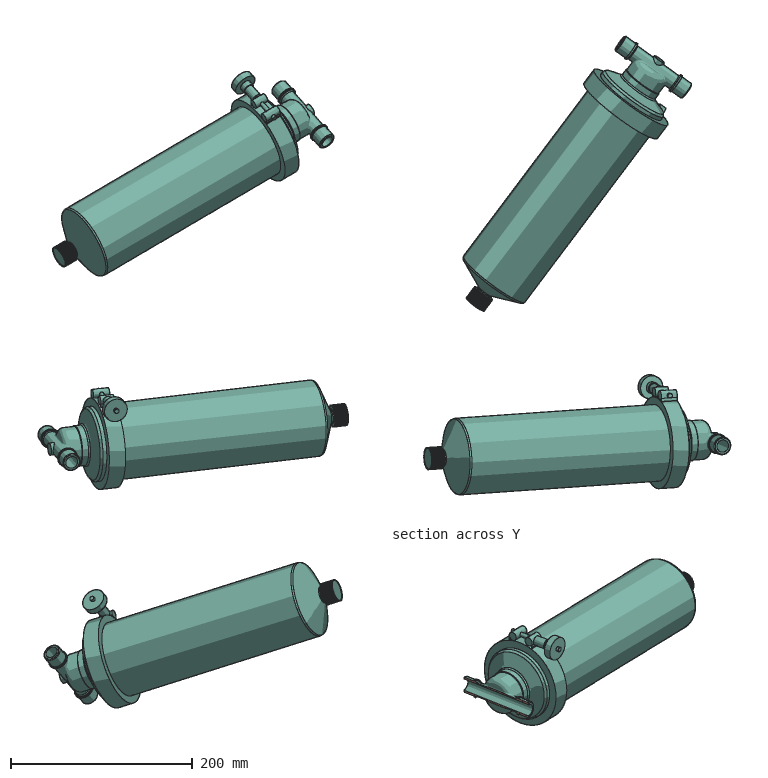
import cadquery as cq
import math


cap_radius = 12.3
cap_length = 15.5
knurl_depth = 0.7
knurl_teeth = 60

neck_radius = 8.2
neck_collar_radius = 9.2
neck_collar_y = 17.0
cone_start_y = 18.5
cone_end_y = 33.5
body_radius = 42.5
body_bevel_radius = 41.7
body_start_y = 35.5

ring_radius = 101.5 / 2
ring_width = 18.8
ring_center_y = 279.5

lid_radius = 41.7
lid_bevel_y = 293.3
lid_cone_radius = 39.5
lid_cone_y = 296.0
lid_flare_radius = 26.0
lid_flare_y = 301.2
collar_flare_radius = 24.0
collar_flare_y = 302.2
collar_radius = 22.5
collar_start_y = 304.0
collar_end_y = 310.8

head_radius = 22.0
head_start_y = 311.5
head_top_y = 330.5
head_round = 7.5

pipe_y = 331.0
pipe_radius = 9.0
pipe_half_length = 45.8
pipe_bore_radius = 7.0
pipe_joint_round = 1.7
sleeve_radius = 10.0
sleeve_chamfer = 1.0
flange_radius = 11.0
flange_width = 2.0
flange_inner_x = 29.5
flange_outer_x = flange_inner_x + flange_width
flange_taper = 1.5
boss_radius = 7.0
boss_top_y = 342

screw_z = 55.0
screw_radius = 2.55
screw_start_x = -48.2
screw_end_x = 18.5
knob_radius = 26.3 / 2
knob_start_x = -45.0
knob_end_x = -37.3
knob_collar_radius = 6.5
knob_collar_end_x = -30.8
spacer_radius = 5.5
trunnion_radius = 10.0 / 2
left_trunnion_x = -10.5
left_trunnion_width = 15.7
right_trunnion_x = -left_trunnion_x
right_trunnion_width = ring_width
strap_thickness = 1.0
strap_root_z = 45.8


def cylinder_x(radius, start_x, end_x, y, z):
    """Cylinder parallel to X."""
    return cq.Workplane("YZ", origin=(start_x, y, z)).circle(radius).extrude(end_x - start_x)


def cylinder_y(radius, start_y, end_y, x=0, z=0):
    """Cylinder parallel to Y."""
    return cq.Workplane("XZ", origin=(x, start_y, z)).circle(radius).extrude(start_y - end_y)


def make_cap():
    """Cap with triangular knurl teeth."""
    root_radius = cap_radius - knurl_depth
    points = []
    for i in range(2 * knurl_teeth):
        radius = cap_radius if i % 2 == 0 else root_radius
        angle = i * math.pi / knurl_teeth
        points.append((radius * math.cos(angle), radius * math.sin(angle)))
    return cq.Workplane("XZ").polyline(points).close().extrude(-cap_length)


def make_housing():
    """Neck, body, lid and head turned around Y."""
    arc_inset = head_round * (1 - math.sqrt(0.5))
    head_round_mid = (head_radius - arc_inset, head_top_y - arc_inset)
    profile = (
        cq.Workplane("XY")
        .moveTo(0, cap_length)
        .lineTo(neck_radius, cap_length)
        .lineTo(neck_collar_radius, neck_collar_y)
        .lineTo(neck_collar_radius, cone_start_y)
        .lineTo(body_bevel_radius, cone_end_y)
        .lineTo(body_radius, body_start_y)
        .lineTo(body_radius, ring_center_y)
        .lineTo(lid_radius, ring_center_y)
        .lineTo(lid_radius, lid_bevel_y)
        .lineTo(lid_cone_radius, lid_cone_y)
        .lineTo(lid_flare_radius, lid_flare_y)
        .lineTo(collar_flare_radius, collar_flare_y)
        .lineTo(collar_radius, collar_start_y)
        .lineTo(collar_radius, collar_end_y)
        .lineTo(head_radius, head_start_y)
        .lineTo(head_radius, head_top_y - head_round)
        .threePointArc(head_round_mid, (head_radius - head_round, head_top_y))
        .lineTo(0, head_top_y)
        .close()
    )
    return profile.revolve(360, (0, 0, 0), (0, 1, 0))


def make_pipe_end():
    """Sleeve and flange at the +X end of the cross pipe."""
    profile = (
        cq.Workplane("XY")
        .moveTo(flange_inner_x - flange_taper, pipe_y)
        .lineTo(flange_inner_x - flange_taper, pipe_y + pipe_radius)
        .lineTo(flange_inner_x, pipe_y + sleeve_radius)
        .lineTo(flange_inner_x, pipe_y + flange_radius)
        .lineTo(flange_outer_x, pipe_y + flange_radius)
        .lineTo(flange_outer_x, pipe_y + sleeve_radius)
        .lineTo(pipe_half_length - sleeve_chamfer, pipe_y + sleeve_radius)
        .lineTo(pipe_half_length, pipe_y + sleeve_radius - sleeve_chamfer)
        .lineTo(pipe_half_length, pipe_y)
        .close()
    )
    return profile.revolve(360, (0, pipe_y, 0), (1, pipe_y, 0))


def join_pipe(housing):
    """Cross pipe blended into the head, with both ends, the plug boss and the through bore."""
    pipe = cylinder_x(pipe_radius, -flange_inner_x, flange_inner_x, pipe_y, 0)
    joint_zone = cq.selectors.BoxSelector(
        (-head_radius, head_top_y - head_round - pipe_radius, -pipe_radius),
        (head_radius, head_top_y + pipe_radius, pipe_radius),
        boundingbox=False,
    )
    body = housing.union(pipe)
    body = body.edges(joint_zone).fillet(pipe_joint_round)
    end = make_pipe_end()
    body = body.union(end).union(end.mirror("YZ"))
    body = body.union(cylinder_y(boss_radius, pipe_y, boss_top_y))
    bore = cylinder_x(pipe_bore_radius, -pipe_half_length, pipe_half_length, pipe_y, 0)
    return body.cut(bore)


def make_trunnion(x, width, side):
    """Trunnion pin with a thin strap down to the ring on its outer side (-1 left, +1 right)."""
    pin = cylinder_y(trunnion_radius, ring_center_y - width / 2, ring_center_y + width / 2, x, screw_z)
    strap_outer_x = x + side * trunnion_radius
    strap = cq.Workplane("XY").box(strap_thickness, width, screw_z - strap_root_z).translate(
        (strap_outer_x - side * strap_thickness / 2, ring_center_y, (screw_z + strap_root_z) / 2)
    )
    return pin.union(strap)


def make_clamp():
    """Clamp ring with its trunnions, screw and knob."""
    clamp = cylinder_y(ring_radius, ring_center_y - ring_width / 2, ring_center_y + ring_width / 2)
    screw_steps = [
        (screw_radius, screw_start_x, screw_end_x),
        (knob_radius, knob_start_x, knob_end_x),
        (knob_collar_radius, knob_end_x, knob_collar_end_x),
        (spacer_radius, knob_collar_end_x, left_trunnion_x - trunnion_radius),
    ]
    for radius, start_x, end_x in screw_steps:
        clamp = clamp.union(cylinder_x(radius, start_x, end_x, ring_center_y, screw_z))
    clamp = clamp.union(make_trunnion(left_trunnion_x, left_trunnion_width, -1))
    return clamp.union(make_trunnion(right_trunnion_x, right_trunnion_width, 1))


result = join_pipe(make_housing()).union(make_clamp()).union(make_cap())